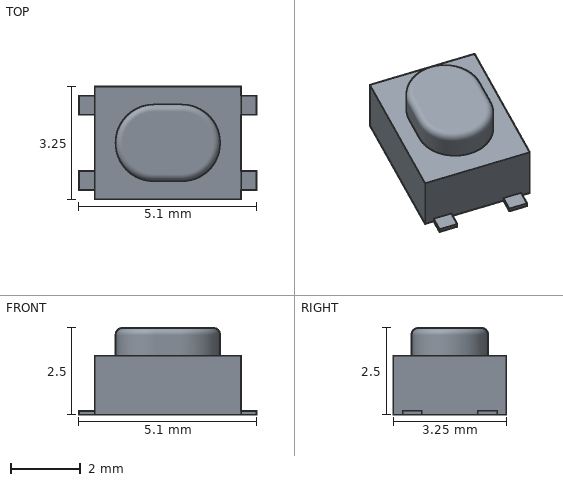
import cadquery as cq

span_across_leads = 5.1
body_length = 4.2
body_width = 3.25
body_height = 1.705
overall_height = 2.5

button_length = 3.005
button_width = 2.205
button_height = overall_height - body_height
button_edge_radius = 0.2

lead_width = 0.55
lead_thickness = 0.115
lead_pitch = 2.16


def make_body():
    return cq.Workplane("XY").box(body_length, body_width, body_height, centered=(True, True, False))


def make_button():
    button = cq.Workplane("XY").workplane(offset=body_height)
    button = button.slot2D(button_length, button_width).extrude(button_height)
    return button.faces(">Z").edges().fillet(button_edge_radius)


def make_lead_bar(y):
    """One bar through the body; its two ends are a pair of opposite leads."""
    bar = cq.Workplane("XY").box(
        span_across_leads, lead_width, lead_thickness, centered=(True, True, False)
    )
    return bar.translate((0, y, 0))


result = make_body().union(make_button())
for side in (-1, 1):
    result = result.union(make_lead_bar(side * lead_pitch / 2))